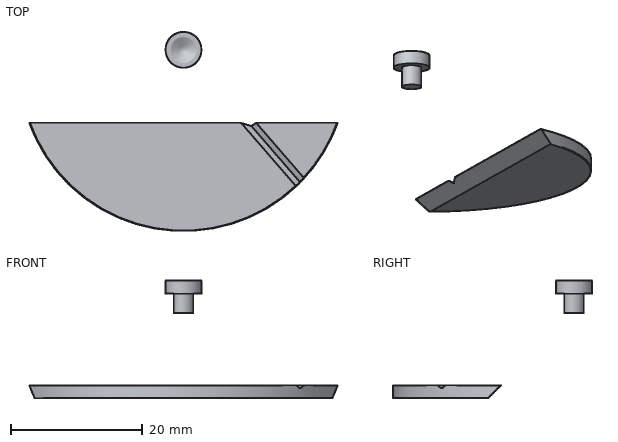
import cadquery as cq
import math

plate_radius = 24.95
plate_thickness = 2.0
back_edge_y = -8.45
back_face_slope = 45.0
rim_fillet = 0.1

groove_depth = 0.5
groove_included_angle = 120.0
groove_width = 2 * groove_depth * math.tan(math.radians(groove_included_angle / 2))
groove_angle = -49.1
groove_start_x = 9.9
groove_length = 30.0

head_diameter = 5.5
head_height = 2.0
stem_diameter = 3.0
stem_length = 3.0
dimple_diameter = 3.9
dimple_depth = 1.0
head_edge_fillet = 0.15
dimple_edge_fillet = 0.4
button_y = 2.65
button_gap = 10.95


def make_groove_cutter():
    """Triangular bar lying along the groove, its wide face flush with the plate top."""
    bar = (
        cq.Workplane("YZ")
        .polyline([(-groove_width / 2, 0), (groove_width / 2, 0), (0, -groove_depth)])
        .close()
        .extrude(groove_length / 2, both=True)
    )
    return (
        bar.rotate((0, 0, 0), (0, 0, 1), groove_angle)
        .translate((groove_start_x, back_edge_y, plate_thickness))
    )


def make_plate():
    disc = (
        cq.Workplane("XY")
        .circle(plate_radius)
        .extrude(plate_thickness)
        .edges()
        .fillet(rim_fillet)
    )
    back_edge_bottom_y = back_edge_y - plate_thickness / math.tan(math.radians(back_face_slope))
    kept_side = (
        cq.Workplane("YZ")
        .polyline([
            (-plate_radius, 0),
            (back_edge_bottom_y, 0),
            (back_edge_y, plate_thickness),
            (-plate_radius, plate_thickness),
        ])
        .close()
        .extrude(plate_radius, both=True)
    )
    return disc.intersect(kept_side).cut(make_groove_cutter())


def make_button():
    stem_bottom_z = plate_thickness + button_gap
    stem = cq.Workplane("XY").circle(stem_diameter / 2).extrude(stem_length)
    head = (
        cq.Workplane("XY")
        .workplane(offset=stem_length)
        .circle(head_diameter / 2)
        .extrude(head_height)
    )
    head_top_z = stem_length + head_height
    dimple = cq.Workplane("XY").add(
        cq.Solid.makeCone(
            dimple_diameter / 2, 0, dimple_depth,
            pnt=cq.Vector(0, 0, head_top_z), dir=cq.Vector(0, 0, -1),
        )
    )
    button = stem.union(head).cut(dimple)
    button = button.faces(">Z").edges(cq.selectors.RadiusNthSelector(-1)).fillet(head_edge_fillet)
    button = button.faces(">Z").edges(cq.selectors.RadiusNthSelector(0)).fillet(dimple_edge_fillet)
    return button.translate((0, button_y, stem_bottom_z))


plate = make_plate()
button = make_button()

result = cq.Compound.makeCompound([plate.val(), button.val()])